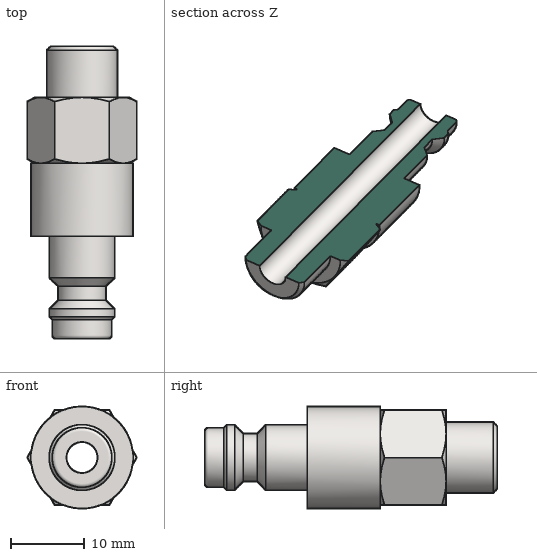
import cadquery as cq
import math

tip_end = 2.6
collar_start = 3.05
collar_end = 4.1
neck_start = 5.3
neck_end = 7.2
shank_start = 8.3
shank_end = 14.0
body_end = 24.0
hex_end = 33.0
total_length = 40.0

tip_diameter = 8.15
collar_diameter = 9.0
neck_diameter = 6.6
body_diameter = 14.0
spigot_diameter = 9.7
bore_diameter = 4.2

hex_across_flats = 13.0
hex_corner_diameter = hex_across_flats / math.cos(math.radians(30))
hex_chamfer_angle = 30.0
tip_fillet = 0.5
spigot_chamfer = 0.55


def revolve_about_y(profile):
    """Revolve (radius, y) points, closed along the axis, about the Y axis."""
    points = [(0, profile[0][1])] + profile + [(0, profile[-1][1])]
    return cq.Workplane("XY").polyline(points).close().revolve(360, (0, 0, 0), (0, 1, 0))


def make_turned_body():
    tip_radius = tip_diameter / 2
    collar_radius = collar_diameter / 2
    neck_radius = neck_diameter / 2
    body_radius = body_diameter / 2
    spigot_radius = spigot_diameter / 2
    turned = revolve_about_y([
        (tip_radius, 0),
        (tip_radius, tip_end),
        (collar_radius, collar_start),
        (collar_radius, collar_end),
        (neck_radius, neck_start),
        (neck_radius, neck_end),
        (collar_radius, shank_start),
        (collar_radius, shank_end),
        (body_radius, shank_end),
        (body_radius, body_end),
        (spigot_radius, body_end),
        (spigot_radius, total_length - spigot_chamfer),
        (spigot_radius - spigot_chamfer, total_length),
    ])
    return turned.faces("<Y").edges().fillet(tip_fillet)


def make_hexagon():
    """Hexagon with corners on X, its corners turned off conically at both ends."""
    prism = (
        cq.Workplane("XZ", origin=(0, hex_end, 0))
        .polygon(6, hex_corner_diameter)
        .extrude(hex_end - body_end)
    )
    flat_radius = hex_across_flats / 2
    corner_radius = hex_corner_diameter / 2
    chamfer_length = (corner_radius - flat_radius) * math.tan(math.radians(hex_chamfer_angle))
    envelope = revolve_about_y([
        (flat_radius, body_end),
        (corner_radius, body_end + chamfer_length),
        (corner_radius, hex_end - chamfer_length),
        (flat_radius, hex_end),
    ])
    return prism.intersect(envelope)


bore = cq.Workplane("XZ").circle(bore_diameter / 2).extrude(-total_length)

result = (
    make_turned_body()
    .union(make_hexagon())
    .cut(bore)
    .translate((0, -total_length / 2, 0))
)